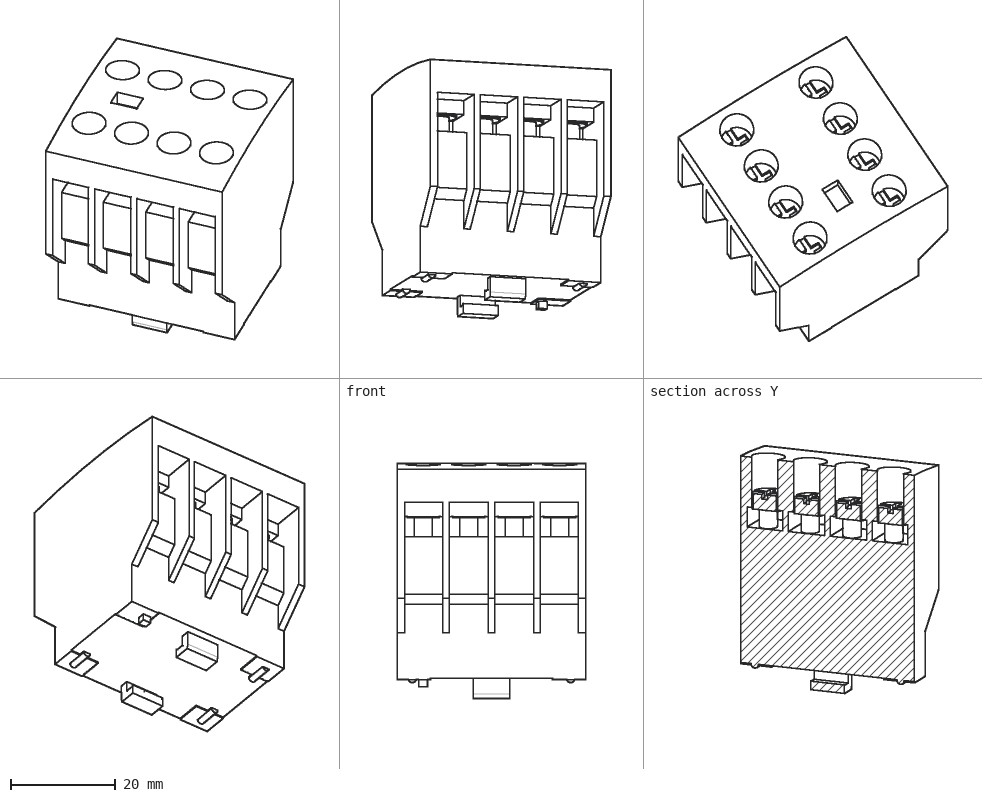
import cadquery as cq

body_width = 36.0
body_depth = 38.0
foot_depth = 24.8
total_height = 44.9
foot_bottom = 3.85
shoulder_bottom = 12.53
shoulder_rise = (body_depth - foot_depth) / 2
roof_edge_height = 43.75

terminal_count = 4
terminal_pitch = 8.65
rib_width = 1.25
end_wall = 1.45
pocket_top = 37.4
row_offset = 8.95
clamp_bottom = 18.0
clamp_top = 30.85
clamp_depth = 1.9
cavity_top = 34.7
cavity_depth = 7.2

screw_hole_diameter = 6.4
screw_head_diameter = 6.1
screw_head_bottom = 34.45
screw_head_height = 3.15
screw_shaft_diameter = 3.5
slot_width = 1.1
cross_slot_length = 4.4
slot_depth = 0.9

window_width = 5.3
window_length = 3.5
window_x = -8.65
window_depth = 2.7

hook_width = 7.05
hook_outer = 10.75
hook_inner = 8.95
hook_tip = 7.0
hook_lip_top = 1.65
hook_barb = 0.25
hook_taper_height = 0.95
hook_taper = 0.22

pad_height = 0.22
pad_inner_x = 11.6
pad_inner_y = 7.2
runner_x = 15.1
runner_width = 1.53
runner_height = 0.6
runner_inner = 6.0
runner_outer = 10.5
pin_x = -13.0
pin_width = 1.7
pin_outer = 10.5
pin_bottom = 2.25

terminal_xs = [(i - (terminal_count - 1) / 2) * terminal_pitch for i in range(terminal_count)]


def box(x_range, y_range, z_range):
    """Box between the given limits along each axis."""
    size = [high - low for low, high in (x_range, y_range, z_range)]
    corner = cq.Vector(x_range[0], y_range[0], z_range[0])
    return cq.Workplane(cq.Solid.makeBox(*size, corner))


def centred(middle, width):
    """Limits of a span of the given width about its middle."""
    return (middle - width / 2, middle + width / 2)


def pocket_span(x):
    """Limits along X of the pocket at x, kept clear of the end walls."""
    limit = body_width / 2 - end_wall
    low, high = centred(x, terminal_pitch - rib_width)
    return (max(low, -limit), min(high, limit))


def cylinder(x, y, diameter, bottom, top):
    """Upright cylinder between two heights."""
    return cq.Workplane("XY", origin=(x, y, bottom)).circle(diameter / 2).extrude(top - bottom)


def both_sides(solid):
    """The solid together with its mirror image on the +Y side."""
    return solid.union(solid.mirror("XZ"))


def housing():
    """Body with an arched roof, sloping shoulders and a narrower foot."""
    half_body = body_depth / 2
    half_foot = foot_depth / 2
    shoulder_top = shoulder_bottom + shoulder_rise
    return (
        cq.Workplane("YZ", origin=(-body_width / 2, 0, 0))
        .moveTo(-half_foot, foot_bottom)
        .lineTo(half_foot, foot_bottom)
        .lineTo(half_foot, shoulder_bottom)
        .lineTo(half_body, shoulder_top)
        .lineTo(half_body, roof_edge_height)
        .threePointArc((0, total_height), (-half_body, roof_edge_height))
        .lineTo(-half_body, shoulder_top)
        .lineTo(-half_foot, shoulder_bottom)
        .close()
        .extrude(body_width)
    )


def terminal_recess(x):
    """Front pocket, inner cavity and screw access hole of one -Y terminal."""
    pocket_floor = -foot_depth / 2
    span = pocket_span(x)
    pocket = box(span, (-body_depth / 2, pocket_floor), (shoulder_bottom, pocket_top))
    cavity = box(span, (pocket_floor, pocket_floor + cavity_depth), (clamp_top, cavity_top))
    access = cylinder(x, -row_offset, screw_hole_diameter, clamp_top, total_height)
    return pocket.union(cavity).union(access)


def clamp_block(x):
    """Block on the pocket floor with a 45 degree underside."""
    pocket_floor = -foot_depth / 2
    left, right = pocket_span(x)
    clamp_face = pocket_floor - clamp_depth
    return (
        cq.Workplane("YZ", origin=(left, 0, 0))
        .moveTo(pocket_floor, clamp_bottom)
        .lineTo(pocket_floor, clamp_top)
        .lineTo(clamp_face, clamp_top)
        .lineTo(clamp_face, clamp_bottom + clamp_depth)
        .close()
        .extrude(right - left)
    )


def screw(x):
    """Screw standing on the cavity floor, with a cross recess in its head."""
    head_top = screw_head_bottom + screw_head_height
    slot_heights = (head_top - slot_depth, head_top)
    shaft = cylinder(x, -row_offset, screw_shaft_diameter, clamp_top, screw_head_bottom)
    head = cylinder(x, -row_offset, screw_head_diameter, screw_head_bottom, head_top)
    long_slot = box(centred(x, screw_head_diameter), centred(-row_offset, slot_width), slot_heights)
    short_slot = box(centred(x, slot_width), centred(-row_offset, cross_slot_length), slot_heights)
    return shaft.union(head.cut(long_slot).cut(short_slot))


def hook():
    """Snap hook on the -Y side, its lip turned inwards with a small barb at the tip."""
    return (
        cq.Workplane("YZ", origin=(-hook_width / 2, 0, 0))
        .moveTo(-hook_outer, foot_bottom)
        .lineTo(-hook_outer, hook_taper_height)
        .lineTo(-hook_outer + hook_taper, 0)
        .lineTo(-hook_tip, 0)
        .lineTo(-hook_tip, hook_lip_top + hook_barb)
        .lineTo(-hook_tip - hook_barb, hook_lip_top)
        .lineTo(-hook_inner, hook_lip_top)
        .lineTo(-hook_inner, foot_bottom)
        .close()
        .extrude(hook_width)
    )


def corner_pad(side):
    """Thin pad under the -Y corner of the foot at the -X or +X end."""
    x_range = sorted((side * pad_inner_x, side * body_width / 2))
    return box(x_range, (-foot_depth / 2, -pad_inner_y), (foot_bottom - pad_height, foot_bottom))


def runner(x):
    """Rounded rib along Y under the foot, on the -Y side."""
    pad_bottom = foot_bottom - pad_height
    return (
        cq.Workplane("XZ", origin=(x, -runner_inner, 0))
        .moveTo(-runner_width / 2, foot_bottom)
        .lineTo(-runner_width / 2, pad_bottom)
        .threePointArc((0, pad_bottom - runner_height), (runner_width / 2, pad_bottom))
        .lineTo(runner_width / 2, foot_bottom)
        .close()
        .extrude(runner_outer - runner_inner)
    )


result = housing()
for terminal_x in terminal_xs:
    result = result.cut(both_sides(terminal_recess(terminal_x)))
    result = result.union(both_sides(clamp_block(terminal_x)))
    result = result.union(both_sides(screw(terminal_x)))

window_floor = total_height - window_depth
result = result.cut(
    box(centred(window_x, window_width), centred(0, window_length), (window_floor, total_height))
)

result = result.union(both_sides(hook()))
for side in (-1, 1):
    result = result.union(both_sides(corner_pad(side)))

result = result.union(both_sides(runner(runner_x)))
result = result.union(runner(-runner_x).mirror("XZ"))
result = result.union(
    box(centred(pin_x, pin_width), (-pin_outer, -hook_inner), (pin_bottom, foot_bottom))
)